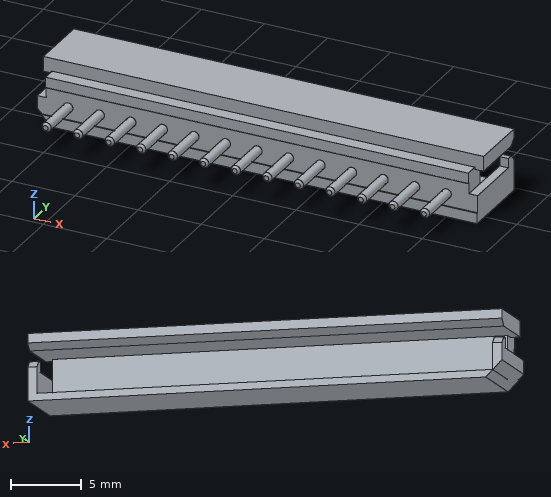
import cadquery as cq

length = 34.9
height = 4.9
depth = 5.9
pin_projection = 3.5

plate_depth = 4.85
plate_bottom = 3.7
plate_chamfer = 0.5

floor_top = 2.2
hook_top = 2.93
hook_thickness = 0.95
hook_chamfer = 0.5
corner_chamfer = 1.2

wall_top = 3.87
wall_thickness = 1.9
wall_end_inset = 0.7

groove_depth = 0.1
groove_bottom = 0.85
groove_top = 3.05

pin_count = 13
pin_span = 29.98
pin_diameter = 0.75
pin_tip_chamfer = 0.17
pin_height = 1.8
pin_embedment = 1.75

end_wall = wall_end_inset
pocket_floor = 0.52

front_y = -depth
groove_y = front_y + groove_depth
wall_back_y = front_y + wall_thickness
pin_tip_y = front_y - pin_projection
pin_pitch = pin_span / (pin_count - 1)


def extrude_along_length(profile, run):
    """Extrude a closed list of (Y, Z) points along X, centred on X = 0."""
    return cq.Workplane("YZ").polyline(profile).close().extrude(run / 2, both=True)


def make_plate():
    """Upper plate with a lead-in chamfer under its mating edge."""
    profile = [
        (0, height),
        (-plate_depth, height),
        (-plate_depth, plate_bottom),
        (-plate_chamfer, plate_bottom),
        (0, plate_bottom + plate_chamfer),
    ]
    return extrude_along_length(profile, length)


def make_base():
    """Hooked base slab with one lower end corner cut off."""
    profile = [
        (0, 0),
        (front_y, 0),
        (front_y, floor_top),
        (-hook_thickness, floor_top),
        (-hook_thickness, hook_top),
        (-hook_chamfer, hook_top),
        (0, hook_top - hook_chamfer),
    ]
    slab = extrude_along_length(profile, length)
    return slab.edges("|Y and <X and <Z").chamfer(corner_chamfer)


def make_wall():
    """Upright wall between the slab and the plate, stepped out in front of the plate."""
    profile = [
        (front_y, floor_top),
        (front_y, wall_top),
        (-plate_depth, wall_top),
        (-plate_depth, plate_bottom),
        (wall_back_y, plate_bottom),
        (wall_back_y, floor_top),
    ]
    return extrude_along_length(profile, length - 2 * wall_end_inset)


def make_groove():
    """Cutter for the shallow groove in the pin-side face."""
    profile = [
        (front_y, groove_bottom),
        (groove_y, groove_bottom),
        (groove_y, groove_top),
        (front_y, groove_top),
    ]
    return extrude_along_length(profile, length)


def make_pocket():
    """Cutter that hollows the slab behind the wall, between the two end walls."""
    profile = [
        (wall_back_y, pocket_floor),
        (wall_back_y, plate_bottom),
        (0, plate_bottom),
        (0, pocket_floor),
    ]
    return extrude_along_length(profile, length - 2 * end_wall)


def make_pin(x):
    """Round pin with a chamfered tip, rooted inside the pin-side wall."""
    pin_length = pin_projection + pin_embedment
    return (
        cq.Workplane("XZ", origin=(x, pin_tip_y, pin_height))
        .circle(pin_diameter / 2)
        .extrude(-pin_length)
        .faces("<Y")
        .chamfer(pin_tip_chamfer)
    )


housing = make_base().union(make_wall()).union(make_plate())
result = housing.cut(make_groove()).cut(make_pocket())
for i in range(pin_count):
    result = result.union(make_pin(-pin_span / 2 + i * pin_pitch))